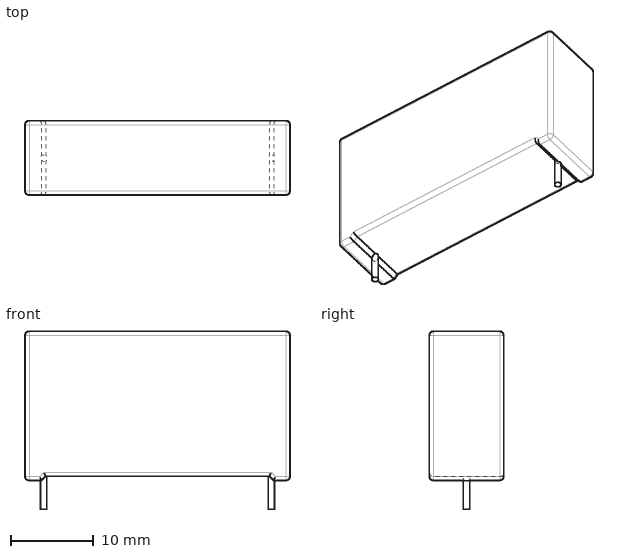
import cadquery as cq

case_length = 32.0
case_thickness = 9.0
case_height = 18.0
edge_radius = 0.5

foot_length = 2.0
recess_depth = 0.5

lead_pitch = 27.5
lead_diameter = 0.8
lead_drop = 3.5
lead_embed = 2 * recess_depth

half_length = case_length / 2
foot_edge = half_length - foot_length
recess_edge = foot_edge - recess_depth


def make_case():
    """Extrude the case outline and round its outer edges."""
    case = (
        cq.Workplane("XZ")
        .polyline([
            (-half_length, 0),
            (-foot_edge, 0),
            (-recess_edge, recess_depth),
            (recess_edge, recess_depth),
            (foot_edge, 0),
            (half_length, 0),
            (half_length, case_height),
            (-half_length, case_height),
        ])
        .close()
        .extrude(case_thickness / 2, both=True)
    )
    return case.edges("|Z or <Y or >Y or <X or >X").fillet(edge_radius)


def make_lead(x):
    """Round lead centred in the thickness of the case."""
    return (
        cq.Workplane("XY", origin=(x, 0, -lead_drop))
        .circle(lead_diameter / 2)
        .extrude(lead_drop + lead_embed)
    )


result = make_case()
for side in (-1, 1):
    result = result.union(make_lead(side * lead_pitch / 2))